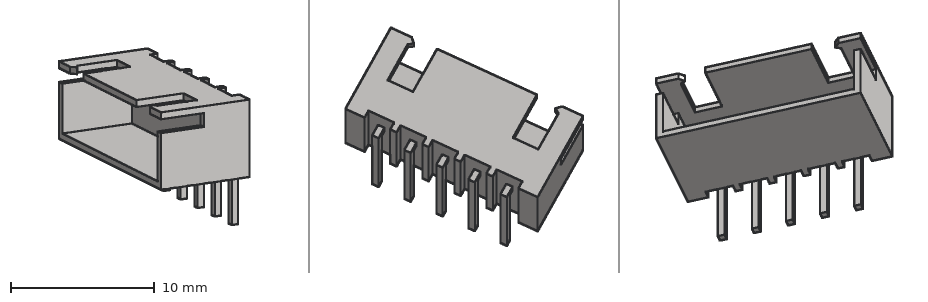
import cadquery as cq

housing_width = 15.0
housing_depth = 7.0
housing_height = 5.6
wall = 0.5
cavity_depth = 5.5

side_slot_depth = 3.4
side_slot_height = 1.0

window_outer_x = 5.87
window_inner_x = 3.9
window_depth = 3.7
barb_reach = 0.37
barb_tip_y = 0.37
barb_back_y = 0.58

rear_recess_width = 12.0
rear_recess_depth = 0.6
rib_width = 0.5

pin_count = 5
pin_pitch = 2.5
pin_size = 0.5
pin_top_z = 4.0
pin_length_below = 4.0
pin_rear_y = 7.3

roof_underside_z = housing_height - wall
recess_floor_y = housing_depth - rear_recess_depth


def block(x_range, y_range, z_range):
    """Axis-aligned box given by its limits along each axis."""
    size = [high - low for low, high in (x_range, y_range, z_range)]
    corner = (x_range[0], y_range[0], z_range[0])
    return cq.Workplane("XY").box(*size, centered=False).translate(corner)


def centred(width, centre=0.0):
    """Limits of a span of the given width about a centre."""
    return (centre - width / 2, centre + width / 2)


def row_positions(count):
    """X positions of a centred row at the pin pitch."""
    return [(i - (count - 1) / 2) * pin_pitch for i in range(count)]


def make_shell():
    outer = block(centred(housing_width), (0, housing_depth), (0, housing_height))
    cavity = block(
        centred(housing_width - 2 * wall), (0, cavity_depth), (wall, roof_underside_z)
    )
    side_slots = block(
        centred(housing_width),
        (0, side_slot_depth),
        (roof_underside_z - side_slot_height, roof_underside_z),
    )
    return outer.cut(cavity).cut(side_slots)


def make_latch_window():
    """Cutter for the window on the +X side; the barb is left standing."""
    return (
        cq.Workplane("XY")
        .workplane(offset=roof_underside_z)
        .polyline([
            (window_inner_x, 0),
            (window_outer_x, 0),
            (window_outer_x - barb_reach, barb_tip_y),
            (window_outer_x, barb_back_y),
            (window_outer_x, window_depth),
            (window_inner_x, window_depth),
        ])
        .close()
        .extrude(wall)
    )


def make_rear_recess():
    y_range = (recess_floor_y, housing_depth)
    z_range = (0, housing_height)
    recess = block(centred(rear_recess_width), y_range, z_range)
    for x in row_positions(pin_count - 1):
        recess = recess.cut(block(centred(rib_width, x), y_range, z_range))
    return recess


def make_pin(x):
    """Pin leaving the recess floor toward +Y and bending down."""
    x_range = centred(pin_size, x)
    leg = block(x_range, (recess_floor_y, pin_rear_y), (pin_top_z - pin_size, pin_top_z))
    tail = block(x_range, (pin_rear_y - pin_size, pin_rear_y), (-pin_length_below, pin_top_z))
    return leg.union(tail)


window = make_latch_window()
result = make_shell().cut(window).cut(window.mirror("YZ")).cut(make_rear_recess())
for pin_x in row_positions(pin_count):
    result = result.union(make_pin(pin_x))